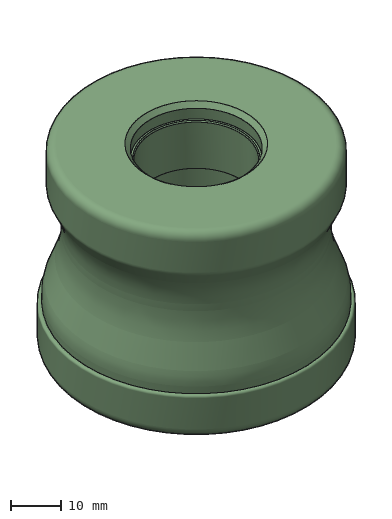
import cadquery as cq
import math

base_radius = 31.75
base_height = 10.8
base_bottom_round = 2.5
base_top_round = 0.5

total_height = 50.0
head_radius = 30.0
head_top_round = 2.0
head_lower_edge = 40.3
neck_radius = 27.0
shoulder_radius = 30.85
shoulder_straight_top = 12.5

upper_angle = math.radians(25)
head_edge_round = 2.0
upper_neck_round = 15.0

lower_angle = math.radians(20)
shoulder_round = 10.05
lower_neck_round = 20.0

mouth_radius = 13.15
mouth_chamfer = 1.1
mouth_depth = 3.75
land_radius = 12.45
land_chamfer = 0.25
land_bottom_depth = 15.55
bore_radius = 6.9
bore_chamfer = 0.4


def flare_points(side_radius, side_z, side_round, neck_round, angle, direction):
    """Points of an S-shaped flare from a wide straight side to the neck.

    direction is +1 when the neck lies above the side and -1 when below.
    Returns the side arc's middle and end, then the neck arc's start, middle and end.
    """
    def on_side_arc(turn):
        r = side_radius - side_round * (1 - math.cos(turn))
        return r, side_z + direction * side_round * math.sin(turn)

    side_end = on_side_arc(angle)
    neck_start_r = neck_radius + neck_round * (1 - math.cos(angle))
    cone_height = (side_end[0] - neck_start_r) / math.tan(angle)
    neck_z = side_end[1] + direction * (cone_height + neck_round * math.sin(angle))

    def on_neck_arc(turn):
        r = neck_radius + neck_round * (1 - math.cos(turn))
        return r, neck_z - direction * neck_round * math.sin(turn)

    return (on_side_arc(angle / 2), side_end,
            on_neck_arc(angle), on_neck_arc(angle / 2), on_neck_arc(0))


def cut_from(body, radius, top, depth, chamfer):
    """Cut a round hole down from height top, with a 45 degree chamfered mouth."""
    hole = cq.Workplane("XY").workplane(offset=top - depth).circle(radius).extrude(depth)
    mouth = cq.Solid.makeCone(radius, radius + chamfer, chamfer, pnt=cq.Vector(0, 0, top - chamfer))
    return body.cut(hole).cut(cq.Workplane(mouth))


def make_base():
    """Round disc with rounded edges and a chamfered centre bore, closing the knob from below."""
    disc = cq.Workplane("XY").circle(base_radius).extrude(base_height)
    disc = disc.faces("<Z").edges().fillet(base_bottom_round)
    disc = disc.faces(">Z").edges().fillet(base_top_round)
    return cut_from(disc, bore_radius, base_height, base_height, bore_chamfer)


def make_knob():
    """Waisted knob with a through bore that narrows to a land below its mouth."""
    lower = flare_points(shoulder_radius, shoulder_straight_top, shoulder_round,
                         lower_neck_round, lower_angle, 1)
    upper = flare_points(head_radius, head_lower_edge, head_edge_round,
                         upper_neck_round, upper_angle, -1)
    side_mid, side_end, neck_start, neck_mid, neck_end = lower
    head_mid, head_end, waist_start, waist_mid, waist_end = upper
    outline = (
        cq.Workplane("XZ")
        .moveTo(0, base_height)
        .lineTo(shoulder_radius, base_height)
        .lineTo(shoulder_radius, shoulder_straight_top)
        .threePointArc(side_mid, side_end)
        .lineTo(*neck_start)
        .threePointArc(neck_mid, neck_end)
        .lineTo(*waist_end)
        .threePointArc(waist_mid, waist_start)
        .lineTo(*head_end)
        .threePointArc(head_mid, (head_radius, head_lower_edge))
        .lineTo(head_radius, total_height)
        .lineTo(0, total_height)
        .close()
    )
    body = outline.revolve(360, (0, 0, 0), (0, 1, 0))
    body = body.faces(">Z").edges().fillet(head_top_round)

    land_top = total_height - mouth_depth
    land_bottom = total_height - land_bottom_depth
    body = cut_from(body, mouth_radius, total_height, mouth_depth, mouth_chamfer)
    body = cut_from(body, land_radius, land_top, land_top - land_bottom, land_chamfer)
    cavity = (
        cq.Workplane("XY")
        .workplane(offset=base_height)
        .circle(mouth_radius)
        .extrude(land_bottom - base_height)
    )
    return body.cut(cavity)


base = make_base()
knob = make_knob()
result = cq.Compound.makeCompound([base.val(), knob.val()])